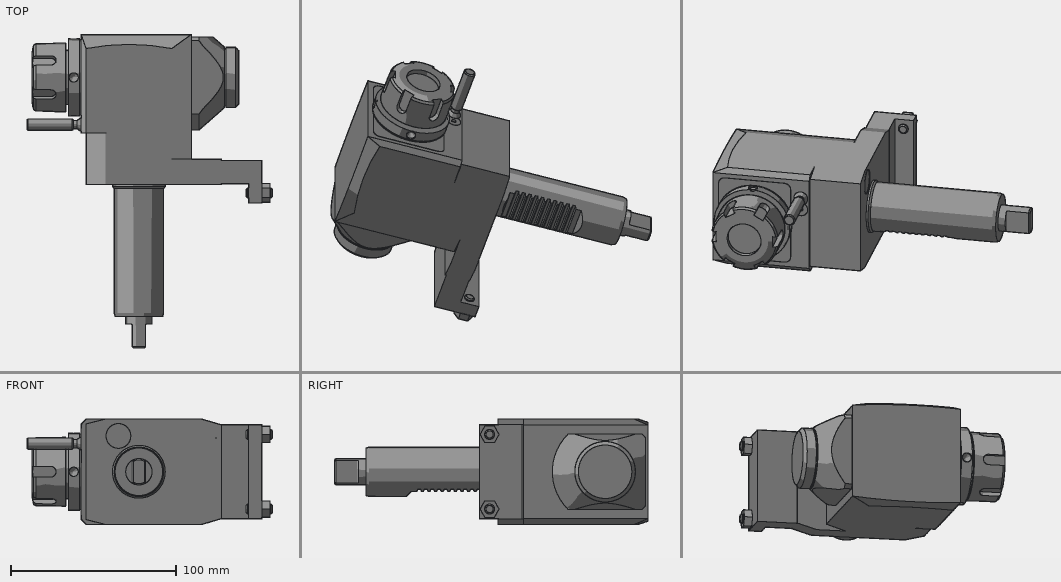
import cadquery as cq
import math

EPS = 0.5

HALF_HEIGHT = 32.0
BACK_Y = 91.0
HEAD_LEFT_X = -35.0
BODY_HALF_WIDTH = 32.0
HEAD_FRONT_Y = 31.2
EDGE_DROP = 3.0
HEAD_RIGHT_DROP = 3.7
WIDE_CHAMFER = 12.0
BACK_CUT_DROP = 2.0
BACK_CUT_LENGTH = 6.0
BACK_CUT_RADIUS = 142.0
BACK_CUT_X = -6.0
RECESS_DIAMETER = 15.0
RECESS_X = -12.4
RECESS_Z = 21.7
RECESS_DEPTH = 0.5

ARM_BACK_Y = 15.4
ARM_TAPER_START_X = 38.0
ARM_TAPER_END_X = 50.0
TAIL_FRONT_Y = 0.4
TAIL_BACK_Y = 14.7
TAIL_HALF_HEIGHT = 28.5
TAIL_END_X = 74.5
FOOT_THICKNESS = 8.0
FOOT_END_Y = -11.2

SCREW_Y = -5.0
SCREW_Z = 22.6
SCREW_DIAMETER = 6.0
SCREW_START_X = 65.0
SCREW_END_X = 81.0
SCREW_CHAMFER = 0.8
HEX_FLATS = 10.0
HEX_END_X = 79.5

SHANK_RADIUS = 15.0
SHANK_LENGTH = 80.0
SHANK_CHAMFER_LENGTH = 2.0
SHANK_CHAMFER_DEPTH = 0.6
COLLAR_RADIUS = 16.0
COLLAR_LENGTH = 1.2
COLLAR_TAPER_END = 2.4
NECK_RADIUS = 8.0
NECK_END = 84.5
TANG_WIDTH = 8.2
TANG_CHAMFER = 0.8
TANG_ROOT_RADIUS = 0.7
TANG_END = 99.0
RACK_Z = -12.0
RACK_START = 7.3
RACK_START_CHAMFER = 1.2
RACK_END = 52.5
RACK_PITCH = 4.0
RACK_GROOVES = 10
RACK_FIRST_GROOVE = 11.7
RACK_GROOVE_DEPTH = 1.3
RACK_GROOVE_HALF_WIDTH = 1.5
RACK_ROOT_HALF_WIDTH = 0.8

SPINDLE_Y = 65.0
NUT_RADIUS = 21.0
NUT_BODY_RADIUS = 20.7
NUT_FRONT_X = -64.8
NUT_BACK_X = -44.2
NUT_BACK_CHAMFER = 0.4
NUT_BEVEL_END_X = -62.5
NUT_SHOULDER_RADIUS = 19.7
NUT_SHOULDER_X = -63.9
NUT_FACE_RADIUS = 15.1
NUT_BORE_RADIUS = 10.5
NUT_BORE_DEPTH = 3.0
NUT_NECK_RADIUS = 16.5
NUT_SLOTS = 6
SLOT_WIDTH = 6.5
SLOT_END_X = -50.2
SLOT_FLOOR_RADIUS = 17.5
RING_RADIUS = 23.5
RING_FRONT_X = -42.8
RING_BACK_X = -36.1
RING_SEAT_RADIUS = 22.9
RING_HOLES = 4
RING_HOLE_DIAMETER = 5.6
RING_HOLE_X = -39.5
RING_HOLE_DEPTH = 4.0

PAD_WIDTH = 44.8
PAD_HEIGHT = 52.5
PAD_CORNER = 4.0
PAD_THICKNESS = 0.2
NOZZLE_Y = 36.4
NOZZLE_Z = 17.1
NOZZLE_RADIUS = 3.5
NOZZLE_TIP_X = -67.83
NOZZLE_SHOULDER_X = -39.7
NOZZLE_NECK_END_X = -37.4
NOZZLE_NECK_RADIUS = 2.6
NOZZLE_FLARE_RADIUS = 4.3
NOZZLE_CHAMFER = 0.7
PLUG_Z = 9.9
PLUG_DIAMETER = 8.6
PLUG_RECESS = 0.1
PLUG_HOLE_DIAMETER = 2.6
PLUG_HOLE_DEPTH = 1.5

HUB_RADIUS = 32.0
HUB_CONE_START_X = 36.4
HUB_CONE_END_X = 51.85
HUB_CONE_END_RADIUS = 18.4
HUB_FLAT_HALF_HEIGHT = 23.0
HUB_FLAT_END_X = 38.9
HUB_SLOPE_END_Z = 18.8
HUB_BACK_Y = 89.6
CAP_RADIUS = 18.3
CAP_END_X = 60.6
CAP_CHAMFER = 2.1
CAP_GROOVE_RADIUS = 17.5
CAP_GROOVE_END_X = 52.7


def box(x0, x1, y0, y1, z0, z1):
    """Box between two opposite corners."""
    return cq.Workplane("XY").box(x1 - x0, y1 - y0, z1 - z0, centered=False).translate((x0, y0, z0))


def extruded_xz(points, y0, y1):
    """Closed (x, z) outline extruded from y0 to y1."""
    return cq.Workplane("XZ", origin=(0, y1, 0)).polyline(points).close().extrude(y1 - y0)


def turned_x(points, y, z=0.0):
    """Closed (x, radius) outline revolved about the line along X at the given y and z."""
    profile = cq.Workplane("XY").polyline(points).close()
    return profile.revolve(360, (0, 0, 0), (1, 0, 0)).translate((0, y, z))


def rod_x(diameter, x0, x1, y, z):
    """Round rod along X."""
    return cq.Workplane("YZ", origin=(x0, y, z)).circle(diameter / 2).extrude(x1 - x0)


def mirrored_outline(upper):
    """Upper half of an (x, z) outline, closed by its mirror image below z = 0."""
    return upper + [(x, -z) for x, z in reversed(upper)]


def housing():
    edge_z = HALF_HEIGHT - EDGE_DROP
    right_z = HALF_HEIGHT - HEAD_RIGHT_DROP
    inner_x = BODY_HALF_WIDTH - WIDE_CHAMFER
    head = extruded_xz(
        mirrored_outline([
            (HEAD_LEFT_X, edge_z),
            (HEAD_LEFT_X + EDGE_DROP, HALF_HEIGHT),
            (inner_x, HALF_HEIGHT),
            (BODY_HALF_WIDTH, right_z),
        ]),
        HEAD_FRONT_Y,
        BACK_Y,
    ).intersect(back_bevel_cone())
    middle = extruded_xz(
        mirrored_outline([
            (-BODY_HALF_WIDTH, edge_z),
            (-inner_x, HALF_HEIGHT),
            (inner_x, HALF_HEIGHT),
            (BODY_HALF_WIDTH, right_z),
        ]),
        0,
        HEAD_FRONT_Y,
    )
    arm = extruded_xz(
        mirrored_outline([
            (-BODY_HALF_WIDTH, edge_z),
            (-inner_x, HALF_HEIGHT),
            (ARM_TAPER_START_X, HALF_HEIGHT),
            (ARM_TAPER_END_X, TAIL_HALF_HEIGHT),
        ]),
        0,
        ARM_BACK_Y,
    )
    recess = (
        cq.Workplane("XZ", origin=(RECESS_X, 0, RECESS_Z))
        .circle(RECESS_DIAMETER / 2)
        .extrude(-RECESS_DEPTH)
    )
    return head.union(middle).union(arm).cut(recess)


def back_bevel_cone():
    """Double cone about a vertical axis whose flanks bevel the head's back edges."""
    slope = BACK_CUT_LENGTH / BACK_CUT_DROP
    top_radius = BACK_CUT_RADIUS - BACK_CUT_LENGTH
    mid_radius = top_radius + slope * HALF_HEIGHT
    profile = [
        (0, -HALF_HEIGHT),
        (top_radius, -HALF_HEIGHT),
        (mid_radius, 0),
        (top_radius, HALF_HEIGHT),
        (0, HALF_HEIGHT),
    ]
    axis_y = BACK_Y - BACK_CUT_RADIUS
    cone = cq.Workplane("XZ").polyline(profile).close().revolve(360, (0, 0, 0), (0, 1, 0))
    return cone.translate((BACK_CUT_X, axis_y, 0))


def foot():
    tail = box(
        ARM_TAPER_END_X - EPS, TAIL_END_X, TAIL_FRONT_Y, TAIL_BACK_Y, -TAIL_HALF_HEIGHT, TAIL_HALF_HEIGHT
    )
    toe = box(
        TAIL_END_X - FOOT_THICKNESS, TAIL_END_X, FOOT_END_Y, TAIL_BACK_Y, -TAIL_HALF_HEIGHT, TAIL_HALF_HEIGHT
    )
    bracket = tail.union(toe)
    for z in (-SCREW_Z, SCREW_Z):
        screw = rod_x(SCREW_DIAMETER, SCREW_START_X, SCREW_END_X, SCREW_Y, z).faces("<X or >X")
        nut = (
            cq.Workplane("YZ", origin=(TAIL_END_X - EPS, SCREW_Y, z))
            .polygon(6, HEX_FLATS / math.cos(math.pi / 6))
            .extrude(HEX_END_X - TAIL_END_X + EPS)
        )
        bracket = bracket.union(nut).union(screw.chamfer(SCREW_CHAMFER))
    return bracket


def shank():
    end_radius = SHANK_RADIUS - SHANK_CHAMFER_DEPTH
    profile = [
        (0, EPS),
        (COLLAR_RADIUS, EPS),
        (COLLAR_RADIUS, -COLLAR_LENGTH),
        (SHANK_RADIUS, -COLLAR_TAPER_END),
        (SHANK_RADIUS, -(SHANK_LENGTH - SHANK_CHAMFER_LENGTH)),
        (end_radius, -SHANK_LENGTH),
        (0, -SHANK_LENGTH),
    ]
    body = cq.Workplane("XY").polyline(profile).close().revolve(360, (0, 0, 0), (0, 1, 0))
    body = body.cut(rack())
    neck = (
        cq.Workplane("XZ", origin=(0, EPS - SHANK_LENGTH, 0))
        .circle(NECK_RADIUS)
        .extrude(NECK_END - SHANK_LENGTH + EPS)
    )
    tang = (
        cq.Workplane("XZ", origin=(0, -SHANK_LENGTH, 0))
        .circle(NECK_RADIUS)
        .extrude(TANG_END - SHANK_LENGTH)
        .intersect(box(-TANG_WIDTH / 2, TANG_WIDTH / 2, -TANG_END, 0, -NECK_RADIUS, NECK_RADIUS))
        .faces("<Y")
        .chamfer(TANG_CHAMFER)
    )
    shaft_end = neck.union(tang)
    root_edges = shaft_end.edges(cq.selectors.BoxSelector(
        (-TANG_WIDTH, -NECK_END - TANG_ROOT_RADIUS / 2, -NECK_RADIUS),
        (TANG_WIDTH, -NECK_END + TANG_ROOT_RADIUS / 2, NECK_RADIUS),
    )).edges("|Z")
    return body.union(root_edges.fillet(TANG_ROOT_RADIUS))


def rack():
    """Clamping flat under the shank, with cross grooves and a sloped run-out."""
    depth = SHANK_RADIUS + RACK_Z
    outline = [
        (-RACK_START, RACK_Z),
        (-RACK_END, RACK_Z),
        (-RACK_END - depth, RACK_Z - depth),
        (-RACK_START + RACK_START_CHAMFER, RACK_Z - depth),
        (-RACK_START, RACK_Z - depth + RACK_START_CHAMFER),
    ]
    cutter = cq.Workplane("YZ").polyline(outline).close().extrude(SHANK_RADIUS, both=True)
    for index in range(RACK_GROOVES):
        y = -(RACK_FIRST_GROOVE + index * RACK_PITCH)
        groove = [
            (y - RACK_GROOVE_HALF_WIDTH, RACK_Z),
            (y - RACK_ROOT_HALF_WIDTH, RACK_Z + RACK_GROOVE_DEPTH),
            (y + RACK_ROOT_HALF_WIDTH, RACK_Z + RACK_GROOVE_DEPTH),
            (y + RACK_GROOVE_HALF_WIDTH, RACK_Z),
        ]
        cutter = cutter.union(cq.Workplane("YZ").polyline(groove).close().extrude(SHANK_RADIUS, both=True))
    return cutter


def collet_nut():
    nut = turned_x(
        [
            (NUT_FRONT_X + NUT_BORE_DEPTH, 0),
            (NUT_FRONT_X + NUT_BORE_DEPTH, NUT_BORE_RADIUS),
            (NUT_FRONT_X, NUT_BORE_RADIUS),
            (NUT_FRONT_X, NUT_FACE_RADIUS),
            (NUT_SHOULDER_X, NUT_SHOULDER_RADIUS),
            (NUT_BEVEL_END_X, NUT_BODY_RADIUS),
            (NUT_BACK_X - NUT_BACK_CHAMFER, NUT_RADIUS),
            (NUT_BACK_X, NUT_RADIUS - NUT_BACK_CHAMFER),
            (NUT_BACK_X, NUT_NECK_RADIUS),
            (RING_FRONT_X, NUT_NECK_RADIUS),
            (RING_FRONT_X, RING_RADIUS),
            (RING_BACK_X, RING_RADIUS),
            (RING_BACK_X, RING_SEAT_RADIUS),
            (HEAD_LEFT_X + EPS, RING_SEAT_RADIUS),
            (HEAD_LEFT_X + EPS, 0),
        ],
        SPINDLE_Y,
    )
    slot_start = NUT_FRONT_X - SLOT_WIDTH
    slot_length = SLOT_END_X - slot_start
    slot = (
        cq.Workplane("XY", origin=(slot_start + slot_length / 2, 0, SLOT_FLOOR_RADIUS))
        .slot2D(slot_length, SLOT_WIDTH)
        .extrude(NUT_RADIUS)
    )
    for index in range(NUT_SLOTS):
        turned = slot.rotate((0, 0, 0), (1, 0, 0), 90 + index * 360 / NUT_SLOTS)
        nut = nut.cut(turned.translate((0, SPINDLE_Y, 0)))
    hole_radius = RING_HOLE_DIAMETER / 2
    tip_radius = RING_RADIUS - RING_HOLE_DEPTH
    hole_profile = [
        (0, tip_radius),
        (hole_radius, tip_radius + hole_radius),
        (hole_radius, RING_RADIUS + EPS),
        (0, RING_RADIUS + EPS),
    ]
    hole = cq.Workplane("XZ").polyline(hole_profile).close().revolve(360, (0, 0, 0), (0, 1, 0))
    hole = hole.translate((RING_HOLE_X, 0, 0))
    for index in range(RING_HOLES):
        turned = hole.rotate((0, 0, 0), (1, 0, 0), index * 360 / RING_HOLES)
        nut = nut.cut(turned.translate((0, SPINDLE_Y, 0)))
    return nut


def cover_pad():
    return (
        cq.Workplane("YZ", origin=(HEAD_LEFT_X - PAD_THICKNESS, SPINDLE_Y, 0))
        .rect(PAD_WIDTH, PAD_HEIGHT)
        .extrude(PAD_THICKNESS + EPS)
        .edges("|X")
        .fillet(PAD_CORNER)
    )


def coolant_nozzle():
    return turned_x(
        [
            (NOZZLE_TIP_X, 0),
            (NOZZLE_TIP_X, NOZZLE_RADIUS - NOZZLE_CHAMFER),
            (NOZZLE_TIP_X + NOZZLE_CHAMFER, NOZZLE_RADIUS),
            (NOZZLE_SHOULDER_X - NOZZLE_CHAMFER, NOZZLE_RADIUS),
            (NOZZLE_SHOULDER_X, NOZZLE_RADIUS - NOZZLE_CHAMFER),
            (NOZZLE_SHOULDER_X, NOZZLE_NECK_RADIUS),
            (NOZZLE_NECK_END_X, NOZZLE_NECK_RADIUS),
            (HEAD_LEFT_X, NOZZLE_FLARE_RADIUS),
            (HEAD_LEFT_X + EPS, NOZZLE_FLARE_RADIUS),
            (HEAD_LEFT_X + EPS, 0),
        ],
        NOZZLE_Y,
        NOZZLE_Z,
    )


def plug_recess():
    seat = rod_x(PLUG_DIAMETER, HEAD_LEFT_X - EPS, HEAD_LEFT_X + PLUG_RECESS, NOZZLE_Y, PLUG_Z)
    hole = rod_x(PLUG_HOLE_DIAMETER, HEAD_LEFT_X - EPS, HEAD_LEFT_X + PLUG_HOLE_DEPTH, NOZZLE_Y, PLUG_Z)
    return seat.union(hole)


def rear_hub():
    start_x = BODY_HALF_WIDTH - EPS
    hub = turned_x(
        [
            (start_x, 0),
            (start_x, HUB_RADIUS),
            (HUB_CONE_START_X, HUB_RADIUS),
            (HUB_CONE_END_X, HUB_CONE_END_RADIUS),
            (HUB_CONE_END_X, 0),
        ],
        SPINDLE_Y,
    )
    envelope = extruded_xz(
        mirrored_outline([
            (start_x, HUB_FLAT_HALF_HEIGHT),
            (HUB_FLAT_END_X, HUB_FLAT_HALF_HEIGHT),
            (HUB_CONE_END_X, HUB_SLOPE_END_Z),
        ]),
        SPINDLE_Y - HUB_RADIUS,
        HUB_BACK_Y,
    )
    cap = turned_x(
        [
            (HUB_CONE_END_X - EPS, 0),
            (HUB_CONE_END_X - EPS, CAP_GROOVE_RADIUS),
            (CAP_GROOVE_END_X, CAP_GROOVE_RADIUS),
            (CAP_GROOVE_END_X, CAP_RADIUS),
            (CAP_END_X - CAP_CHAMFER, CAP_RADIUS),
            (CAP_END_X, CAP_RADIUS - CAP_CHAMFER),
            (CAP_END_X, 0),
        ],
        SPINDLE_Y,
    )
    return hub.intersect(envelope).union(cap)


result = (
    housing()
    .union(foot())
    .union(shank())
    .union(cover_pad())
    .cut(plug_recess())
    .union(collet_nut())
    .union(coolant_nozzle())
    .union(rear_hub())
)